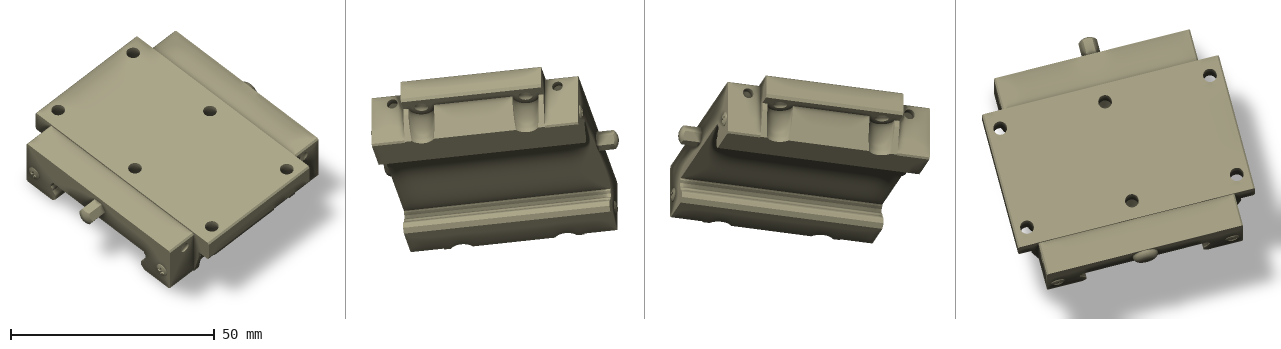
import cadquery as cq
import math

overall_width = 60.0
overall_height = 14.5

block_length = 35.05
flange_bottom = 8.45
flange_top_chamfer = 0.4
flange_bottom_chamfer_across = 0.3
flange_bottom_chamfer_up = 0.85
leg_half_width_top = 27.0
leg_half_width_bottom = 24.85

hole_diameter = 3.35
hole_half_spacing_x = 26.6
hole_half_spacing_y = 13.0
center_hole_depth = 4.8
drill_point_angle = 118.0
relief_radius = 3.25
notch_half_width = 26.5
notch_bottom = 6.7

cap_width = 2 * leg_half_width_bottom
cap_top_step = 0.5
cap_height = overall_height - cap_top_step
caps_overall_length = 51.6
cap_chamfer = 0.4
side_hole_diameter = 2.65
side_hole_depth = 1.8
side_hole_y = 20.65
side_hole_z = 11.45

channel_nose = (14.8, 2.45)
channel_shoulder = (15.85, 4.1)
channel_corner_radius = 0.9
channel_edge_x = 15.9
channel_groove_x = 16.45
channel_half_outline = [
    (channel_edge_x, 0.0),
    (channel_nose[0], 1.0),
    channel_nose,
    (channel_shoulder[0], 3.5),
    channel_shoulder,
    (channel_groove_x, 4.6),
    (channel_groove_x, 5.65),
    (channel_edge_x, 6.2),
    (channel_edge_x, 6.65),
]

screw_x = 22.1
screw_z = 5.0
screw_diameter = 3.4
screw_head_height = 0.6
screw_rim_height = 0.2
recess_length = 2.1
recess_width = 0.5
recess_depth = 0.5

fitting_z = 10.45
fitting_across_flats = 4.1
fitting_tip_y = -31.0
fitting_tip_radius = 3.25
plug_diameter = 6.35
plug_height = 1.6
plug_rounding = 1.5

cap_face_y = caps_overall_length / 2
embed = 0.6


def extrude_along_rail(outline, length):
    """Extrude a closed (X, Z) outline along Y, centred on Y = 0."""
    return cq.Workplane("XZ").polyline(outline).close().extrude(length / 2, both=True)


def mirrored(half_outline):
    """Close a half outline by adding its mirror image about X = 0."""
    return half_outline + [(-x, z) for x, z in reversed(half_outline)]


def middle_block():
    half_width = overall_width / 2
    half_outline = [
        (leg_half_width_bottom, 0),
        (leg_half_width_top, flange_bottom),
        (half_width - flange_bottom_chamfer_across, flange_bottom),
        (half_width, flange_bottom + flange_bottom_chamfer_up),
        (half_width, overall_height - flange_top_chamfer),
        (half_width - flange_top_chamfer, overall_height),
    ]
    block = extrude_along_rail(mirrored(half_outline), block_length)

    corners = [
        (side * hole_half_spacing_x, end * hole_half_spacing_y)
        for side in (-1, 1)
        for end in (-1, 1)
    ]
    reliefs = cq.Workplane("XY").pushPoints(corners).circle(relief_radius).extrude(flange_bottom)
    holes = cq.Workplane("XY").pushPoints(corners).circle(hole_diameter / 2).extrude(overall_height)
    block = block.cut(reliefs).cut(holes)

    notch_length = block_length / 2 - hole_half_spacing_y
    notch_width = leg_half_width_top - notch_half_width
    for x, y in corners:
        notch = (
            cq.Workplane("XY", origin=(0, 0, notch_bottom))
            .center(
                math.copysign(notch_half_width + notch_width / 2, x),
                math.copysign(hole_half_spacing_y + notch_length / 2, y),
            )
            .rect(notch_width, notch_length)
            .extrude(flange_bottom - notch_bottom)
        )
        block = block.cut(notch)
    return block


def center_hole(y):
    """Blind hole in the flange top with a conical drill point."""
    radius = hole_diameter / 2
    point_depth = radius / math.tan(math.radians(drill_point_angle / 2))
    return (
        cq.Workplane("XZ", origin=(0, y, overall_height))
        .polyline([
            (0, 0),
            (radius, 0),
            (radius, -center_hole_depth),
            (0, -center_hole_depth - point_depth),
        ])
        .close()
        .revolve(360, (0, 0), (0, 1))
    )


def end_caps():
    """Both caps, cut from one bar by leaving out the length of the middle block."""
    bar = (
        cq.Workplane("XY")
        .box(cap_width, caps_overall_length, cap_height, centered=(True, True, False))
        .edges("|Y")
        .chamfer(cap_chamfer)
    )
    gap = cq.Workplane("XY").box(cap_width, block_length, cap_height, centered=(True, True, False))
    return bar.cut(gap)


def rail_channel():
    channel = extrude_along_rail(mirrored(channel_half_outline), caps_overall_length)
    for x, z in (channel_nose, channel_shoulder):
        for side in (-1, 1):
            corner = cq.selectors.NearestToPointSelector((side * x, 0, z))
            channel = channel.edges(corner).fillet(channel_corner_radius)
    return channel


def side_hole(side, y):
    return (
        cq.Workplane("YZ", origin=(side * cap_width / 2, y, side_hole_z))
        .circle(side_hole_diameter / 2)
        .extrude(-side * side_hole_depth)
    )


def screw_head(x, end):
    """Domed screw head with a cross recess, on the cap face at the given end."""
    radius = screw_diameter / 2
    rim_y = cap_face_y + screw_rim_height
    tip_y = cap_face_y + screw_head_height
    dome_height = screw_head_height - screw_rim_height
    dome_radius = (radius**2 + dome_height**2) / (2 * dome_height)
    dome = (
        cq.Workplane("XY", origin=(x, 0, screw_z))
        .moveTo(0, cap_face_y - embed)
        .lineTo(radius, cap_face_y - embed)
        .lineTo(radius, rim_y)
        .radiusArc((0, tip_y), -dome_radius)
        .close()
        .revolve(360, (0, 0), (0, 1))
    )
    for width, height in ((recess_length, recess_width), (recess_width, recess_length)):
        arm = cq.Workplane("XY", origin=(x, tip_y, screw_z)).box(width, 2 * recess_depth, height)
        dome = dome.cut(arm)
    return dome if end > 0 else dome.mirror("XZ")


def grease_fitting():
    """Hexagonal stem with flats facing up and down and a spherical tip."""
    across_corners = fitting_across_flats / math.cos(math.pi / 6)
    stem = (
        cq.Workplane("XZ", origin=(0, fitting_tip_y, fitting_z))
        .polygon(6, across_corners)
        .extrude(fitting_tip_y + cap_face_y - embed)
    )
    sphere_center_y = fitting_tip_y + fitting_tip_radius
    envelope = (
        cq.Workplane("XY", origin=(0, 0, fitting_z))
        .moveTo(0, fitting_tip_y)
        .radiusArc((fitting_tip_radius, sphere_center_y), -fitting_tip_radius)
        .lineTo(fitting_tip_radius, 0)
        .lineTo(0, 0)
        .close()
        .revolve(360, (0, 0), (0, 1))
    )
    return stem.intersect(envelope)


def plug():
    return (
        cq.Workplane("XZ", origin=(0, cap_face_y - embed, fitting_z))
        .circle(plug_diameter / 2)
        .extrude(-plug_height - embed)
        .faces(">Y")
        .edges()
        .fillet(plug_rounding)
    )


body = middle_block().union(end_caps())
body = body.cut(rail_channel())
for end in (-1, 1):
    body = body.cut(center_hole(end * hole_half_spacing_y))
    for side in (-1, 1):
        body = body.cut(side_hole(side, end * side_hole_y))
        body = body.union(screw_head(side * screw_x, end))

result = body.union(grease_fitting()).union(plug())